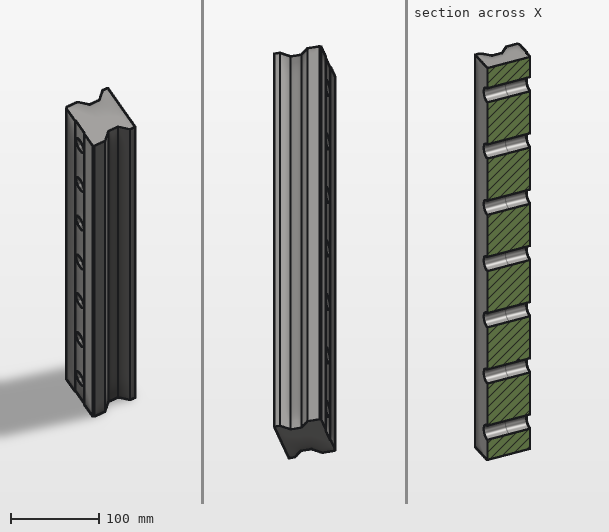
import cadquery as cq

length = 523.0
width = 63.0
depth = 55.0

channel_depth = 10.0
back_lip = 7.0
front_lip = 15.5

edge_chamfer = 1.5

groove_width = 20.5
groove_depth = 0.8

hole_count = 7
hole_diameter = 18.5
hole_end_margin = 36.5
hole_pitch = (length - 2 * hole_end_margin) / (hole_count - 1)

half_width = width / 2
half_depth = depth / 2
half_waist = half_width - channel_depth


def rail_body():
    """Extrude the waisted section, centred on the origin."""
    front_flank_start = -half_depth + front_lip
    back_flank_start = half_depth - back_lip
    right_side = [
        (half_width - edge_chamfer, -half_depth),
        (half_width, -half_depth + edge_chamfer),
        (half_width, front_flank_start),
        (half_waist, front_flank_start + channel_depth),
        (half_waist, back_flank_start - channel_depth),
        (half_width, back_flank_start),
        (half_width, half_depth),
    ]
    left_side = [(-x, y) for x, y in reversed(right_side)]
    section = cq.Workplane("XY").polyline(right_side + left_side).close()
    return section.extrude(length / 2, both=True)


def relief_groove():
    """Full-length shallow groove centred on the front face."""
    return cq.Workplane("XY").box(groove_width, 2 * groove_depth, length).translate((0, -half_depth, 0))


def mounting_holes():
    """Evenly pitched through holes along the rail centreline."""
    return (
        cq.Workplane("XZ")
        .rarray(5, hole_pitch, 1, hole_count)
        .circle(hole_diameter / 2)
        .extrude(depth, both=True)
    )


result = rail_body().cut(relief_groove()).cut(mounting_holes())